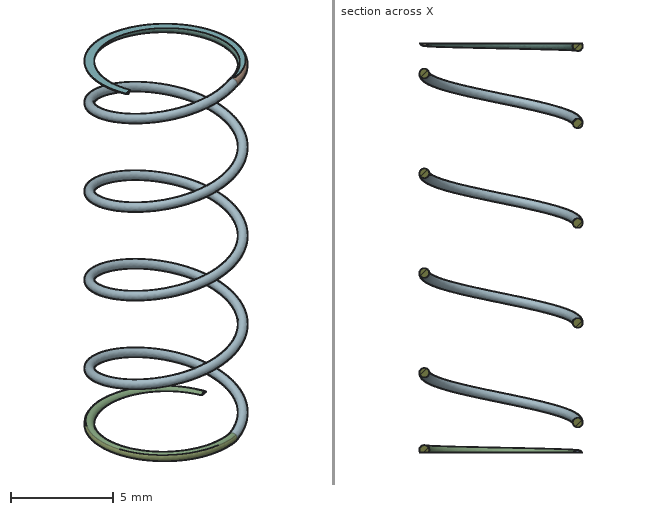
import cadquery as cq

free_length = 20.0
outer_diameter = 8.0
wire_diameter = 0.5
active_turns = 4
closed_turns = 0.75
closed_pitch = wire_diameter
seam_height = wire_diameter / 2
section_seam_angle = 45

coil_radius = (outer_diameter - wire_diameter) / 2
active_height = free_length - 2 * seam_height
active_pitch = active_height / active_turns
closed_rise = closed_pitch * closed_turns
mid_height = free_length / 2


def coil(pitch, height):
    """Right-handed round-wire coil that starts on the +X axis at Z = 0."""
    path = cq.Workplane(obj=cq.Wire.makeHelix(pitch, height, coil_radius))
    section = (
        cq.Workplane("XZ")
        .center(coil_radius, 0)
        .transformed(rotate=(0, 0, section_seam_angle))
        .circle(wire_diameter / 2)
    )
    return section.sweep(path, isFrenet=True)


def ground_bottom_end():
    """Low-pitch end coil with its upper end on the +X axis, ground flat at Z = 0."""
    end = coil(closed_pitch, closed_rise)
    end = end.rotate((0, 0, 0), (0, 0, 1), -360 * closed_turns)
    end = end.translate((0, 0, seam_height - closed_rise))
    kept_space = cq.Workplane("XY").rect(2 * outer_diameter, 2 * outer_diameter).extrude(mid_height)
    return end.intersect(kept_space)


active_coils = coil(active_pitch, active_height).translate((0, 0, seam_height))
bottom_end = ground_bottom_end()

top_end = bottom_end.rotate((0, 0, mid_height), (1, 0, mid_height), 180)

result = active_coils.union(bottom_end).union(top_end)